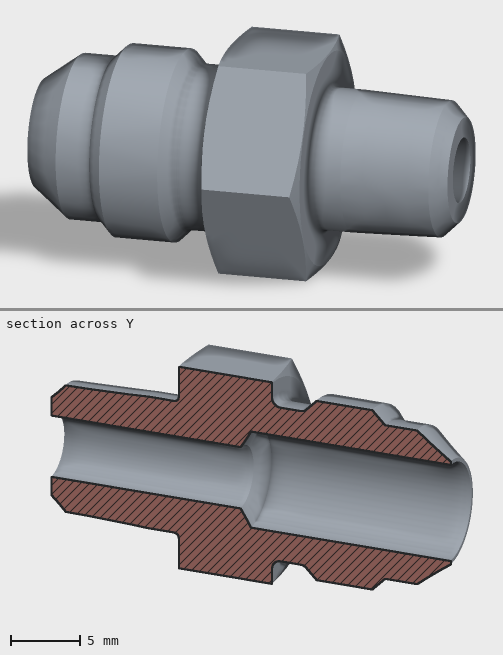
import cadquery as cq
import math

LENGTH = 31.5

NOSE_LENGTH = 2.68
NOSE_HALF_ANGLE = 37.0
NECK_RADIUS = 12.13 / 2
COLLAR_RADIUS = 14.15 / 2
COLLAR_CHAMFER = COLLAR_RADIUS - NECK_RADIUS
COLLAR_FRONT = 6.2
COLLAR_BACK = 10.58
GROOVE_FILLET = 0.63

HEX_START = 14.08
HEX_END = 21.48
HEX_ACROSS_FLATS = 15.88
HEX_CORNER_RADIUS = HEX_ACROSS_FLATS / math.sqrt(3)
HEX_FACE_RADIUS = 7.85
HEX_CHAMFER_LENGTH = 0.4

PIPE_RADIUS = 10.4 / 2
PIPE_FILLET = 0.35
TAPER_START = 23.8
TAPER_SLOPE = 1 / 32
PIPE_CHAMFER = 1.13

THROUGH_BORE_RADIUS = 4.8 / 2
FLARE_BORE_RADIUS = 7.53 / 2
FLARE_BORE_DEPTH = 15.75
DRILL_POINT_HALF_ANGLE = 59.0


def revolve_about_x(points):
    """Close an (axial position, radius) outline and revolve it about X."""
    return cq.Workplane("XY").polyline(points).close().revolve(360, (0, 0, 0), (1, 0, 0))


def make_flare_end():
    """Conical nose, neck and chamfered collar, with a rounded groove before the hexagon."""
    nose_rise = NOSE_LENGTH * math.tan(math.radians(NOSE_HALF_ANGLE))
    blend_turn = math.radians(45)
    wall_foot = COLLAR_BACK + COLLAR_CHAMFER
    blend_tangent = GROOVE_FILLET * math.tan(blend_turn / 2)
    blend_end = wall_foot + blend_tangent
    blend_center_radius = NECK_RADIUS + GROOVE_FILLET

    def blend_point(angle):
        return (
            blend_end - GROOVE_FILLET * math.sin(angle),
            blend_center_radius - GROOVE_FILLET * math.cos(angle),
        )

    corner_offset = GROOVE_FILLET * math.sin(math.radians(45))
    return (
        cq.Workplane("XY")
        .moveTo(0, 0)
        .lineTo(0, NECK_RADIUS - nose_rise)
        .lineTo(NOSE_LENGTH, NECK_RADIUS)
        .lineTo(COLLAR_FRONT - COLLAR_CHAMFER, NECK_RADIUS)
        .lineTo(COLLAR_FRONT, COLLAR_RADIUS)
        .lineTo(COLLAR_BACK, COLLAR_RADIUS)
        .lineTo(*blend_point(blend_turn))
        .threePointArc(blend_point(blend_turn / 2), (blend_end, NECK_RADIUS))
        .lineTo(HEX_START - GROOVE_FILLET, NECK_RADIUS)
        .threePointArc(
            (HEX_START - GROOVE_FILLET + corner_offset, blend_center_radius - corner_offset),
            (HEX_START, blend_center_radius),
        )
        .lineTo(HEX_START, 0)
        .close()
        .revolve(360, (0, 0, 0), (1, 0, 0))
    )


def make_hexagon():
    """Hexagon with corners on Y, its end corners turned down to cones."""
    prism = (
        cq.Workplane("YZ", origin=(HEX_START, 0, 0))
        .polygon(6, 2 * HEX_CORNER_RADIUS)
        .extrude(HEX_END - HEX_START)
    )
    turned_envelope = revolve_about_x([
        (HEX_START, 0),
        (HEX_START, HEX_FACE_RADIUS),
        (HEX_START + HEX_CHAMFER_LENGTH, HEX_CORNER_RADIUS),
        (HEX_END - HEX_CHAMFER_LENGTH, HEX_CORNER_RADIUS),
        (HEX_END, HEX_FACE_RADIUS),
        (HEX_END, 0),
    ])
    return prism.intersect(turned_envelope)


def make_pipe_end():
    """Filleted shank, tapered length and end chamfer."""
    chamfer_start = LENGTH - PIPE_CHAMFER
    taper_end_radius = PIPE_RADIUS - (chamfer_start - TAPER_START) * TAPER_SLOPE
    fillet_top = PIPE_RADIUS + PIPE_FILLET
    fillet_end = HEX_END + PIPE_FILLET
    corner_offset = PIPE_FILLET * math.sin(math.radians(45))
    return (
        cq.Workplane("XY")
        .moveTo(HEX_END, 0)
        .lineTo(HEX_END, fillet_top)
        .threePointArc(
            (fillet_end - corner_offset, fillet_top - corner_offset),
            (fillet_end, PIPE_RADIUS),
        )
        .lineTo(TAPER_START, PIPE_RADIUS)
        .lineTo(chamfer_start, taper_end_radius)
        .lineTo(LENGTH, taper_end_radius - PIPE_CHAMFER)
        .lineTo(LENGTH, 0)
        .close()
        .revolve(360, (0, 0, 0), (1, 0, 0))
    )


def make_bore():
    """Wide bore from the nose, narrowing by a drill-point cone to the through bore."""
    bore_step = FLARE_BORE_RADIUS - THROUGH_BORE_RADIUS
    cone_length = bore_step / math.tan(math.radians(DRILL_POINT_HALF_ANGLE))
    return revolve_about_x([
        (0, 0),
        (0, FLARE_BORE_RADIUS),
        (FLARE_BORE_DEPTH, FLARE_BORE_RADIUS),
        (FLARE_BORE_DEPTH + cone_length, THROUGH_BORE_RADIUS),
        (LENGTH, THROUGH_BORE_RADIUS),
        (LENGTH, 0),
    ])


body = make_flare_end().union(make_hexagon()).union(make_pipe_end())
result = body.cut(make_bore())